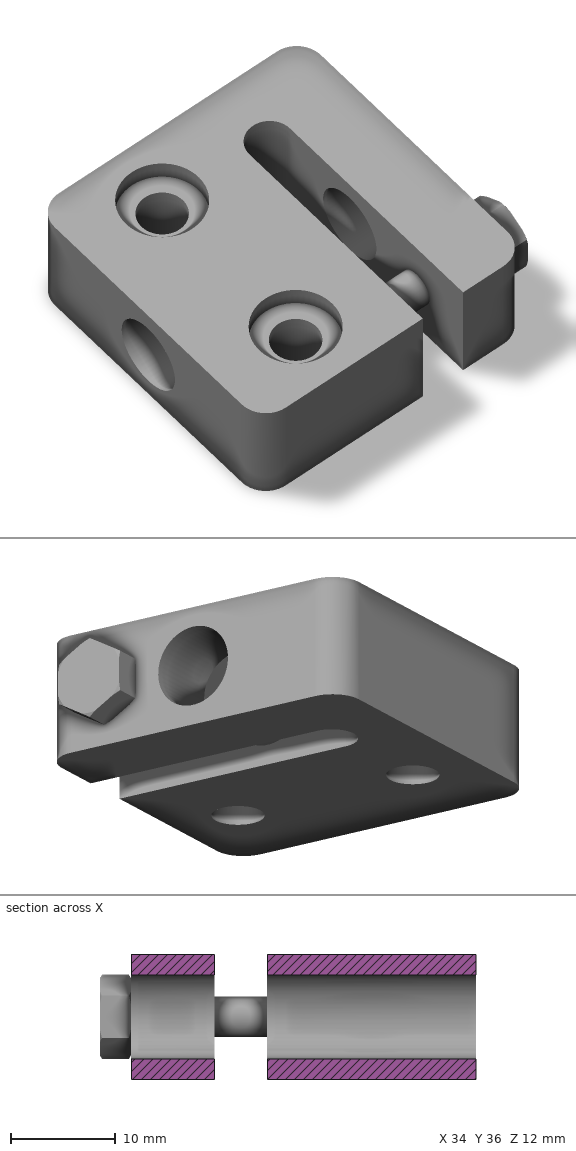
import cadquery as cq
import math

block_width = 34.0
block_length = 33.0
block_height = 12.0
corner_radius = 3.0

main_bore_diameter = 8.0

mount_spacing = 20.0
mount_inset = 10.0
mount_diameter = 5.1
counterbore_diameter = 9.0
counterbore_depth = 2.0

slot_front = 20.0
slot_width = 5.0
slot_end_inset = 5.5

total_length = 36.0
screw_x = mount_spacing / 2
screw_diameter = 3.92
screw_engagement = screw_diameter
screw_start = slot_front - screw_engagement
nut_across_flats = 7.0
nut_across_corners = nut_across_flats / math.cos(math.pi / 6)
nut_thickness = total_length - block_length
nut_face_diameter = 7.35
nut_chamfer_angle = math.radians(30)
nut_chamfer_depth = (nut_across_corners - nut_face_diameter) / 2 * math.tan(nut_chamfer_angle)


def rod_along_y(diameter, x, start, end):
    """Cylinder at mid height, running in +Y between two positions."""
    return cq.Workplane(
        cq.Solid.makeCylinder(diameter / 2, end - start, cq.Vector(x, start, 0), cq.Vector(0, 1, 0))
    )


def make_slot_cutter():
    """Slot with a round closed end, running out through the +X side."""
    end_radius = slot_width / 2
    slot_back = slot_front + slot_width
    end_x = -block_width / 2 + slot_end_inset
    arc_x = end_x + end_radius
    side_x = block_width / 2
    return (
        cq.Workplane("XY")
        .workplane(offset=-block_height / 2)
        .moveTo(side_x, slot_front)
        .lineTo(arc_x, slot_front)
        .threePointArc((end_x, slot_front + end_radius), (arc_x, slot_back))
        .lineTo(side_x, slot_back)
        .close()
        .extrude(block_height)
    )


def make_block():
    body = (
        cq.Workplane("XY")
        .box(block_width, block_length, block_height, centered=(True, False, True))
        .edges("|Z")
        .fillet(corner_radius)
    )
    body = (
        body.faces(">Z")
        .workplane(origin=(0, 0, 0))
        .pushPoints([(-mount_spacing / 2, mount_inset), (mount_spacing / 2, mount_inset)])
        .cboreHole(mount_diameter, counterbore_diameter, counterbore_depth)
    )
    body = body.cut(make_slot_cutter())
    body = body.cut(rod_along_y(main_bore_diameter, 0, 0, block_length))
    return body.cut(rod_along_y(screw_diameter, screw_x, screw_start, block_length))


def make_screw():
    """Plain shank reaching from the blind hole to the outer face of the nut."""
    return rod_along_y(screw_diameter, screw_x, screw_start, total_length)


def make_nut():
    """Hexagonal nut against the rear face, its corners chamfered at both ends."""
    hexagon = (
        cq.Workplane("XZ", origin=(screw_x, block_length, 0))
        .transformed(rotate=(0, 0, 90))
        .polygon(6, nut_across_corners)
        .extrude(-nut_thickness)
    )
    face_radius = nut_face_diameter / 2
    corner_reach = nut_across_corners / 2
    chamfer_envelope = (
        cq.Workplane("XY", origin=(screw_x, block_length, 0))
        .polyline([
            (0, 0),
            (face_radius, 0),
            (corner_reach, nut_chamfer_depth),
            (corner_reach, nut_thickness - nut_chamfer_depth),
            (face_radius, nut_thickness),
            (0, nut_thickness),
        ])
        .close()
        .revolve(360, (0, 0, 0), (0, 1, 0))
    )
    return hexagon.intersect(chamfer_envelope).cut(make_screw())


block = make_block()
screw = make_screw()
nut = make_nut()

result = cq.Compound.makeCompound([block.solids().val(), screw.val(), nut.solids().val()])